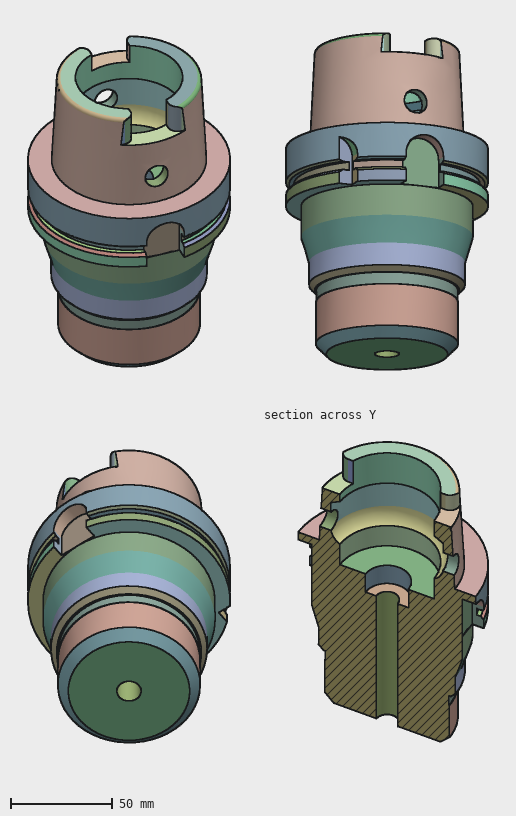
import cadquery as cq
import math

SHANK_LENGTH = 50.0
GAUGE_DIAMETER = 75.3
GAUGE_HEIGHT = 12.5
TAPER_RATIO = 0.1
SHANK_RIM_FILLET = 1.9

SHANK_BORE_RADIUS = 26.5
SHANK_BORE_DEPTH = 20.0
RECESS_RADIUS = 31.5
RECESS_WALL_BOTTOM_Z = 10.5
RECESS_SHOULDER_ANGLE = 30.0
RECESS_ROUNDING = 10.0
BORE_FLOOR_Z = -11.5
COOLANT_SEAT_RADIUS = 12.0
COOLANT_SEAT_DEPTH = 12.0
THROUGH_HOLE_RADIUS = 6.0

CROSS_HOLE_RADIUS = 6.0
CROSS_HOLE_Z = 15.0

RIM_SLOT_WIDTH = 20.0
RIM_SLOT_ROUNDING = 5.0
RIM_SLOT_MOUTH_X = 32.3
NEAR_RIM_SLOT_DEPTH = 10.0
FAR_RIM_SLOT_DEPTH = 15.0

FLANGE_RADIUS = 50.0
FLANGE_THICKNESS = 29.5
GROOVE_RADIUS = 46.0
GROOVE_TOP_Z = -18.1
GROOVE_BOTTOM_Z = -22.2
GROOVE_LIP_WIDTH = 1.6
GROOVE_TOP_LIP_HEIGHT = 0.9
GROOVE_BOTTOM_LIP_HEIGHT = 1.5

FLANGE_SLOT_RADIUS = 10.0
FLANGE_SLOT_CENTER_Z = -15.3
DRIVE_SLOT_FLOOR = 42.5
NOTCH_OFFSET = 31.7

COLLAR_RADIUS = 42.5
COLLAR_BOTTOM_Z = -45.2
WAIST_RADIUS = 38.6
WAIST_TOP_Z = -58.4
WAIST_BOTTOM_Z = -69.7
WAIST_CHAMFER = 2.8
NECK_RADIUS = 35.0
NECK_BOTTOM_Z = -78.5
NOSE_RADIUS = 35.2
NOSE_END_Z = -105.0
NOSE_CHAMFER = 5.2

CUT_MARGIN = 5.0


def taper_radius(z):
    """Radius of the shank taper at height z."""
    return (GAUGE_DIAMETER - TAPER_RATIO * (z - GAUGE_HEIGHT)) / 2


def make_body():
    """Solid of revolution: shank taper, grooved flange and stepped chuck body."""
    lip_radius = FLANGE_RADIUS - GROOVE_LIP_WIDTH
    outline = [
        (0, SHANK_LENGTH),
        (taper_radius(SHANK_LENGTH), SHANK_LENGTH),
        (taper_radius(0), 0),
        (FLANGE_RADIUS, 0),
        (FLANGE_RADIUS, GROOVE_TOP_Z + GROOVE_TOP_LIP_HEIGHT),
        (lip_radius, GROOVE_TOP_Z),
        (GROOVE_RADIUS, GROOVE_TOP_Z),
        (GROOVE_RADIUS, GROOVE_BOTTOM_Z),
        (lip_radius, GROOVE_BOTTOM_Z),
        (FLANGE_RADIUS, GROOVE_BOTTOM_Z - GROOVE_BOTTOM_LIP_HEIGHT),
        (FLANGE_RADIUS, -FLANGE_THICKNESS),
        (COLLAR_RADIUS, -FLANGE_THICKNESS),
        (COLLAR_RADIUS, COLLAR_BOTTOM_Z),
        (WAIST_RADIUS, WAIST_TOP_Z),
        (WAIST_RADIUS, WAIST_BOTTOM_Z),
        (WAIST_RADIUS - WAIST_CHAMFER, WAIST_BOTTOM_Z - WAIST_CHAMFER),
        (NECK_RADIUS, WAIST_BOTTOM_Z - WAIST_CHAMFER),
        (NECK_RADIUS, NECK_BOTTOM_Z),
        (NOSE_RADIUS, NECK_BOTTOM_Z),
        (NOSE_RADIUS, NOSE_END_Z + NOSE_CHAMFER),
        (NOSE_RADIUS - NOSE_CHAMFER, NOSE_END_Z),
        (0, NOSE_END_Z),
    ]
    body = cq.Workplane("XZ").polyline(outline).close().revolve(360, (0, 0), (0, 1))
    return body.faces(">Z").edges().fillet(SHANK_RIM_FILLET)


def make_axial_bores():
    """Entry bore, clamping recess, lower bore, coolant seat and through hole as one cutting body."""
    entry_bottom_z = SHANK_LENGTH - SHANK_BORE_DEPTH
    recess_depth = RECESS_RADIUS - SHANK_BORE_RADIUS
    shoulder_drop = recess_depth * math.tan(math.radians(RECESS_SHOULDER_ANGLE))
    seat_floor_z = BORE_FLOOR_Z - COOLANT_SEAT_DEPTH
    rounding_center_x = RECESS_RADIUS - RECESS_ROUNDING
    rounding_angle = math.acos((SHANK_BORE_RADIUS - rounding_center_x) / RECESS_ROUNDING)

    def rounding_point(angle):
        return (
            rounding_center_x + RECESS_ROUNDING * math.cos(angle),
            RECESS_WALL_BOTTOM_Z - RECESS_ROUNDING * math.sin(angle),
        )

    return (
        cq.Workplane("XZ")
        .moveTo(0, SHANK_LENGTH)
        .lineTo(SHANK_BORE_RADIUS, SHANK_LENGTH)
        .lineTo(SHANK_BORE_RADIUS, entry_bottom_z)
        .lineTo(RECESS_RADIUS, entry_bottom_z - shoulder_drop)
        .lineTo(RECESS_RADIUS, RECESS_WALL_BOTTOM_Z)
        .threePointArc(rounding_point(rounding_angle / 2), rounding_point(rounding_angle))
        .lineTo(SHANK_BORE_RADIUS, BORE_FLOOR_Z)
        .lineTo(COOLANT_SEAT_RADIUS, BORE_FLOOR_Z)
        .lineTo(COOLANT_SEAT_RADIUS, seat_floor_z)
        .lineTo(THROUGH_HOLE_RADIUS, seat_floor_z)
        .lineTo(THROUGH_HOLE_RADIUS, NOSE_END_Z)
        .lineTo(0, NOSE_END_Z)
        .close()
        .revolve(360, (0, 0), (0, 1))
    )


def make_cross_hole():
    """Round hole along X, long enough to pass through both shank walls."""
    length = 2 * FLANGE_RADIUS
    return (
        cq.Workplane("YZ")
        .workplane(offset=-length / 2)
        .center(0, CROSS_HOLE_Z)
        .circle(CROSS_HOLE_RADIUS)
        .extrude(length)
    )


def make_rim_slot(side, depth):
    """Slot through the shank wall on one X side, with its outer corners rounded outwards."""
    half_width = RIM_SLOT_WIDTH / 2
    arc_center_y = half_width + RIM_SLOT_ROUNDING
    arc_center_x = RIM_SLOT_MOUTH_X - RIM_SLOT_ROUNDING
    diagonal = RIM_SLOT_ROUNDING * math.sqrt(0.5)
    arc_mid_x = arc_center_x + diagonal
    arc_mid_y = arc_center_y - diagonal
    outer_x = taper_radius(0)
    outer_y = arc_center_y + CUT_MARGIN
    return (
        cq.Workplane("XY")
        .workplane(offset=SHANK_LENGTH - depth)
        .moveTo(0, -half_width)
        .lineTo(side * arc_center_x, -half_width)
        .threePointArc((side * arc_mid_x, -arc_mid_y), (side * RIM_SLOT_MOUTH_X, -arc_center_y))
        .lineTo(side * RIM_SLOT_MOUTH_X, -outer_y)
        .lineTo(side * outer_x, -outer_y)
        .lineTo(side * outer_x, outer_y)
        .lineTo(side * RIM_SLOT_MOUTH_X, outer_y)
        .lineTo(side * RIM_SLOT_MOUTH_X, arc_center_y)
        .threePointArc((side * arc_mid_x, arc_mid_y), (side * arc_center_x, half_width))
        .lineTo(0, half_width)
        .close()
        .extrude(depth)
    )


def make_flange_slot(side, floor_distance, center_y):
    """Slot milled along X into the flange: round top end, open at the flange's lower face."""
    cut_depth = FLANGE_RADIUS + CUT_MARGIN - floor_distance
    return (
        cq.Workplane("YZ")
        .workplane(offset=side * floor_distance)
        .moveTo(center_y - FLANGE_SLOT_RADIUS, -FLANGE_THICKNESS)
        .lineTo(center_y - FLANGE_SLOT_RADIUS, FLANGE_SLOT_CENTER_Z)
        .threePointArc(
            (center_y, FLANGE_SLOT_CENTER_Z + FLANGE_SLOT_RADIUS),
            (center_y + FLANGE_SLOT_RADIUS, FLANGE_SLOT_CENTER_Z),
        )
        .lineTo(center_y + FLANGE_SLOT_RADIUS, -FLANGE_THICKNESS)
        .close()
        .extrude(side * cut_depth)
    )


result = make_body().cut(make_axial_bores()).cut(make_cross_hole())
for side, rim_depth in ((-1, NEAR_RIM_SLOT_DEPTH), (1, FAR_RIM_SLOT_DEPTH)):
    result = result.cut(make_rim_slot(side, rim_depth))
    result = result.cut(make_flange_slot(side, DRIVE_SLOT_FLOOR, 0))
result = result.cut(make_flange_slot(-1, NOTCH_OFFSET, NOTCH_OFFSET + FLANGE_SLOT_RADIUS))